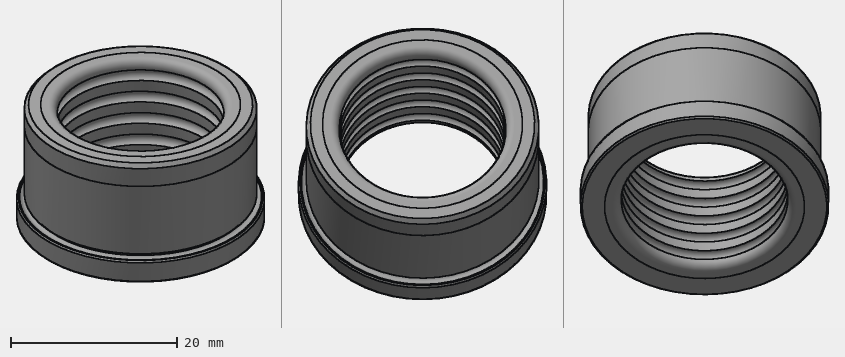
import cadquery as cq

flange_radius = 14.9
flange_height = 3.0
flange_chamfer = 0.2
total_height = 16.0
body_radius = 13.98
top_chamfer = 0.5

lead_in_height = 3.0
lead_in_radius = body_radius - 0.005

undercut_outer_radius = 14.55
undercut_slope_width = 0.33
undercut_slope_depth = 0.25
undercut_depth = 0.33
undercut_floor_radius = 13.9
body_lower_edge = flange_height + 0.5
body_lower_chamfer = 0.6

liner_radius = 12.0
bore_radius = 10.0
mouth_radius = 1.0
groove_count = 5
groove_pitch = 3.0
groove_radius = 0.75


def revolve_profile(profile):
    """Turn a closed outline in the XZ plane about the Z axis."""
    return profile.close().revolve(360, (0, 0, 0), (0, 1, 0))


def make_sleeve():
    """Outer sleeve with flange, undercut, lead-in and chamfered ends."""
    lead_in_bottom = total_height - lead_in_height
    slope_end = (
        undercut_outer_radius - undercut_slope_width,
        flange_height - undercut_slope_depth,
    )
    undercut_floor = (undercut_floor_radius, flange_height - undercut_depth)
    neck = (body_radius - body_lower_chamfer, body_lower_edge - body_lower_chamfer)
    profile = (
        cq.Workplane("XZ")
        .moveTo(liner_radius, 0)
        .lineTo(flange_radius - flange_chamfer, 0)
        .lineTo(flange_radius, flange_chamfer)
        .lineTo(flange_radius, flange_height - flange_chamfer)
        .lineTo(flange_radius - flange_chamfer, flange_height)
        .lineTo(undercut_outer_radius, flange_height)
        .lineTo(*slope_end)
        .threePointArc(undercut_floor, neck)
        .lineTo(body_radius, body_lower_edge)
        .lineTo(body_radius, lead_in_bottom)
        .lineTo(lead_in_radius, lead_in_bottom)
        .lineTo(lead_in_radius, total_height - top_chamfer)
        .lineTo(lead_in_radius - top_chamfer, total_height)
        .lineTo(liner_radius, total_height)
    )
    return revolve_profile(profile)


def make_liner():
    """Inner liner with rounded mouths and evenly spaced half-round bore grooves."""
    mouth_edge = bore_radius + mouth_radius
    first_groove = total_height / 2 - groove_pitch * (groove_count - 1) / 2
    profile = (
        cq.Workplane("XZ")
        .moveTo(liner_radius, total_height)
        .lineTo(liner_radius, 0)
        .lineTo(mouth_edge, 0)
        .radiusArc((bore_radius, mouth_radius), mouth_radius)
    )
    for index in range(groove_count):
        height = first_groove + index * groove_pitch
        profile = profile.lineTo(bore_radius, height - groove_radius).threePointArc(
            (bore_radius + groove_radius, height),
            (bore_radius, height + groove_radius),
        )
    profile = (
        profile.lineTo(bore_radius, total_height - mouth_radius)
        .radiusArc((mouth_edge, total_height), mouth_radius)
    )
    return revolve_profile(profile)


sleeve = make_sleeve()
liner = make_liner()

result = cq.Compound.makeCompound([sleeve.val(), liner.val()])